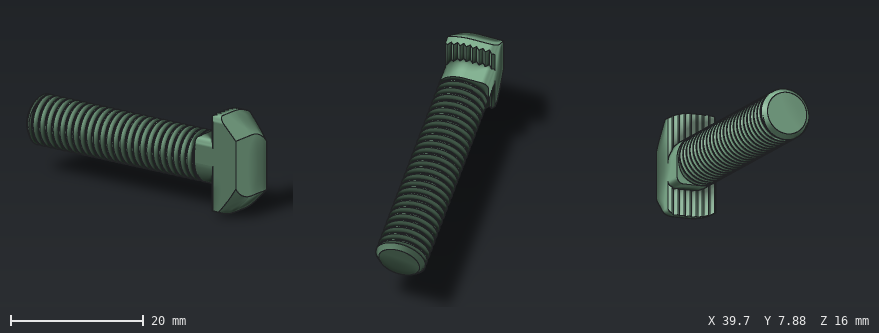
import cadquery as cq
import math


total_length = 39.7
major_diameter = 7.875
root_diameter = 6.45
pitch = 1.25
crest_width = 0.25
flank_angle = 30.0
shank_length = 32.0

head_height = 16.0
head_thickness = 4.75
corner_radius = 1.05
head_chamfer = 3.2

serration_pitch = 1.0
serration_depth = serration_pitch / 2

overlap = 0.1

half_width = major_diameter / 2
root_radius = root_diameter / 2
half_height = head_height / 2
thread_depth = half_width - root_radius
tip_chamfer = thread_depth
head_start = total_length - head_thickness


def quarter_turn_prism(half_z, start, end):
    """Prism along X. Two opposite corners are small fillets, the other two are arcs about the axis."""
    flat_end = math.sqrt(half_z**2 - half_width**2)
    half_arc_angle = math.asin(half_width / half_z) / 2
    arc_mid_y = half_z * math.sin(half_arc_angle)
    arc_mid_z = half_z * math.cos(half_arc_angle)
    fillet_y = half_width - corner_radius
    fillet_z = half_z - corner_radius
    fillet_mid = corner_radius * math.sqrt(0.5)
    outline = (
        cq.Workplane("YZ", origin=(start, 0, 0))
        .moveTo(-fillet_y, half_z)
        .lineTo(0, half_z)
        .threePointArc((arc_mid_y, arc_mid_z), (half_width, flat_end))
        .lineTo(half_width, -fillet_z)
        .threePointArc((fillet_y + fillet_mid, -fillet_z - fillet_mid), (fillet_y, -half_z))
        .lineTo(0, -half_z)
        .threePointArc((-arc_mid_y, -arc_mid_z), (-half_width, -flat_end))
        .lineTo(-half_width, fillet_z)
        .threePointArc((-fillet_y - fillet_mid, fillet_z + fillet_mid), (-fillet_y, half_z))
        .close()
    )
    return outline.extrude(end - start)


def chamfered_half_profile():
    """Upper half of the head in the XZ plane, with its 45 degree chamfer on the outer end."""
    return (
        cq.Workplane("XZ")
        .moveTo(head_start, 0)
        .lineTo(head_start, half_height)
        .lineTo(total_length - head_chamfer, half_height)
        .lineTo(total_length, half_height - head_chamfer)
        .lineTo(total_length, 0)
        .close()
    )


def head_envelope():
    """Chamfer envelope: conical around the arc corners and flat over the filleted corners."""
    conical = chamfered_half_profile().revolve(360, (0, 0, 0), (1, 0, 0))
    upper_flat = chamfered_half_profile().extrude(half_width)
    lower_flat = upper_flat.rotate((0, 0, 0), (1, 0, 0), 180)
    return conical.union(upper_flat).union(lower_flat)


def serration_grooves():
    """V grooves along Z on the clamping face of the head, with their valleys at whole pitches."""
    valleys_per_side = math.ceil(half_width / serration_pitch)
    first_crest = -(valleys_per_side + 0.5) * serration_pitch
    profile = cq.Workplane("XY", origin=(0, 0, -head_height)).moveTo(head_start - overlap, first_crest)
    profile = profile.lineTo(head_start, first_crest)
    for valley in range(-valleys_per_side, valleys_per_side + 1):
        valley_y = valley * serration_pitch
        profile = profile.lineTo(head_start + serration_depth, valley_y)
        profile = profile.lineTo(head_start, valley_y + serration_pitch / 2)
    profile = profile.lineTo(head_start - overlap, -first_crest).close()
    return profile.extrude(2 * head_height)


def make_head():
    """Serrated T head."""
    blank = quarter_turn_prism(half_height, head_start, total_length)
    return blank.intersect(head_envelope()).cut(serration_grooves())


def make_neck():
    """Plain neck that stops the bolt after a quarter turn; it runs into the head past the serrations."""
    return quarter_turn_prism(half_width, shank_length, head_start + 2 * serration_depth)


def make_tip():
    """Conical end of the bolt, from the thread root up to the full diameter."""
    axis = cq.Vector(1, 0, 0)
    return cq.Workplane(obj=cq.Solid.makeCone(root_radius, half_width, tip_chamfer, dir=axis))


def make_thread():
    """Right-hand threaded rod, trimmed square where it meets the tip and the neck."""
    thread_length = shank_length - tip_chamfer
    helix_length = (math.ceil(thread_length / pitch) + 2) * pitch
    inner_radius = root_radius - overlap / 2
    half_crest = crest_width / 2
    half_base = half_crest + (half_width - inner_radius) * math.tan(math.radians(flank_angle))
    helix = cq.Workplane(obj=cq.Wire.makeHelix(pitch, helix_length, inner_radius))
    ridge = (
        cq.Workplane("XZ")
        .moveTo(inner_radius, -half_base)
        .lineTo(half_width, -half_crest)
        .lineTo(half_width, half_crest)
        .lineTo(inner_radius, half_base)
        .close()
        .sweep(helix, isFrenet=True)
    )
    core = cq.Workplane("XY").circle(root_radius).extrude(helix_length)
    threaded_zone = (
        cq.Workplane("XY", origin=(0, 0, pitch))
        .circle(major_diameter)
        .extrude(thread_length)
    )
    thread = core.union(ridge).intersect(threaded_zone)
    return thread.rotate((0, 0, 0), (0, 1, 0), 90).translate((tip_chamfer - pitch, 0, 0))


result = make_tip().union(make_thread()).union(make_neck()).union(make_head())